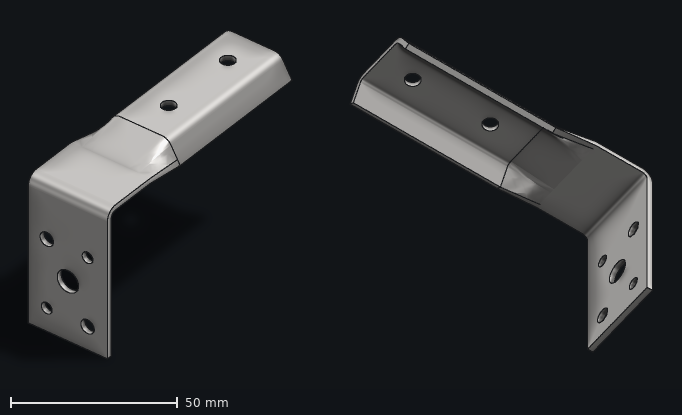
import cadquery as cq
import math

thickness = 2.0
bend_outer_radius = 2 * thickness
bend_inner_radius = bend_outer_radius - thickness

total_length = 91.0
total_height = 59.0
plate_width = 30.0
neck_front = 21.0
neck_back = 36.0
plate_top = -4.0
plate_underside = plate_top - thickness

crest_half_width = 7.8
wall_turn = math.radians(60)
wall_length = 7.0
neck_edge_drop = 4.9

channel_hole_diameter = 5.0
channel_holes_from_back = (12.5, 41.5)
left_hole_x = -8.0
right_hole_x = 7.5
lower_hole_height = 8.6
centre_hole_height = 22.1
upper_hole_height = 34.2
small_hole_diameter = 4.0
medium_hole_diameter = 5.0
large_hole_diameter = 8.0


def bend_point(radius, turn):
    """(x, z) on the right-hand channel bend, at a turn away from the crest."""
    return (
        crest_half_width + radius * math.sin(turn),
        -bend_outer_radius + radius * math.cos(turn),
    )


def down_wall(point, distance):
    """Move a (x, z) point down along the right-hand channel wall."""
    return (
        point[0] + distance * math.cos(wall_turn),
        point[1] - distance * math.sin(wall_turn),
    )


def mirrored(point):
    return (-point[0], point[1])


def at_y(point, y):
    return cq.Vector(point[0], y, point[1])


outer_crest = bend_point(bend_outer_radius, 0)
outer_middle = bend_point(bend_outer_radius, wall_turn / 2)
outer_bend = bend_point(bend_outer_radius, wall_turn)
outer_tip = down_wall(outer_bend, wall_length)
neck_edge = down_wall(outer_bend, neck_edge_drop)
inner_crest = bend_point(bend_inner_radius, 0)
inner_middle = bend_point(bend_inner_radius, wall_turn / 2)
inner_bend = bend_point(bend_inner_radius, wall_turn)
inner_tip = down_wall(inner_bend, wall_length)


def make_channel():
    """Straight open channel with two holes through its crest."""
    channel = (
        cq.Workplane("XZ", origin=(0, total_length, 0))
        .moveTo(*mirrored(outer_crest))
        .lineTo(*outer_crest)
        .threePointArc(outer_middle, outer_bend)
        .lineTo(*outer_tip)
        .lineTo(*inner_tip)
        .lineTo(*inner_bend)
        .threePointArc(inner_middle, inner_crest)
        .lineTo(*mirrored(inner_crest))
        .threePointArc(mirrored(inner_middle), mirrored(inner_bend))
        .lineTo(*mirrored(inner_tip))
        .lineTo(*mirrored(outer_tip))
        .lineTo(*mirrored(outer_bend))
        .threePointArc(mirrored(outer_middle), mirrored(outer_crest))
        .close()
        .extrude(total_length - neck_back)
    )
    holes = (
        cq.Workplane("XY")
        .pushPoints([(0, total_length - setback) for setback in channel_holes_from_back])
        .circle(channel_hole_diameter / 2)
        .extrude(-thickness)
    )
    return channel.cut(holes)


def make_neck():
    """Ruled transition from the channel section to the flat plate section."""
    half_plate = plate_width / 2

    outer_arc = bend_outer_radius * wall_turn
    inner_arc = bend_inner_radius * wall_turn
    outer_run = crest_half_width + outer_arc + neck_edge_drop
    inner_run = crest_half_width + inner_arc + wall_length + thickness
    top_crest = (half_plate * crest_half_width / outer_run, plate_top)
    top_bend = (half_plate * (crest_half_width + outer_arc) / outer_run, plate_top)
    low_crest = (half_plate * crest_half_width / inner_run, plate_underside)
    low_bend = (half_plate * (crest_half_width + inner_arc) / inner_run, plate_underside)
    low_tip = (half_plate * (inner_run - thickness) / inner_run, plate_underside)

    pairs = [
        (outer_crest, top_crest),
        (outer_bend, top_bend),
        (neck_edge, (half_plate, plate_top)),
        (outer_tip, (half_plate, plate_underside)),
        (inner_tip, low_tip),
        (inner_bend, low_bend),
        (inner_crest, low_crest),
    ]
    pairs += [(mirrored(back), mirrored(front)) for back, front in reversed(pairs)]
    arc_middles = {
        (outer_crest, outer_bend): outer_middle,
        (inner_bend, inner_crest): inner_middle,
        (mirrored(inner_crest), mirrored(inner_bend)): mirrored(inner_middle),
        (mirrored(outer_bend), mirrored(outer_crest)): mirrored(outer_middle),
    }

    back_edges = []
    front_edges = []
    for (back, front), (next_back, next_front) in zip(pairs, pairs[1:] + pairs[:1]):
        start = at_y(back, neck_back)
        end = at_y(next_back, neck_back)
        if (back, next_back) in arc_middles:
            middle = at_y(arc_middles[(back, next_back)], neck_back)
            back_edges.append(cq.Edge.makeThreePointArc(start, middle, end))
        else:
            back_edges.append(cq.Edge.makeLine(start, end))
        front_edges.append(cq.Edge.makeLine(at_y(front, neck_front), at_y(next_front, neck_front)))

    sections = [cq.Wire.assembleEdges(back_edges), cq.Wire.assembleEdges(front_edges)]
    return cq.Workplane(cq.Solid.makeLoft(sections, True))


def make_plate():
    """Flat strip bent down into the vertical mounting plate."""
    plate = (
        cq.Workplane("YZ")
        .moveTo(neck_front, plate_top)
        .lineTo(0, plate_top)
        .lineTo(0, -total_height)
        .lineTo(thickness, -total_height)
        .lineTo(thickness, plate_underside)
        .lineTo(neck_front, plate_underside)
        .close()
        .extrude(plate_width / 2, both=True)
    )
    outer_corner = cq.selectors.NearestToPointSelector((0, 0, plate_top))
    inner_corner = cq.selectors.NearestToPointSelector((0, thickness, plate_underside))
    plate = plate.edges(outer_corner).fillet(bend_outer_radius)
    return plate.edges(inner_corner).fillet(bend_inner_radius)


def make_plate_holes():
    """Large central hole and four mounting holes, equal sizes on each diagonal."""
    layout = [
        (0, centre_hole_height, large_hole_diameter),
        (left_hole_x, upper_hole_height, medium_hole_diameter),
        (right_hole_x, upper_hole_height, small_hole_diameter),
        (left_hole_x, lower_hole_height, small_hole_diameter),
        (right_hole_x, lower_hole_height, medium_hole_diameter),
    ]
    holes = cq.Workplane("XZ")
    for x, height, diameter in layout:
        hole = (
            cq.Workplane("XZ")
            .center(x, height - total_height)
            .circle(diameter / 2)
            .extrude(-thickness)
        )
        holes = holes.add(hole)
    return holes.combine()


def make_bracket():
    """Bent mounting plate with the neck that meets the channel."""
    return make_plate().cut(make_plate_holes()).union(make_neck())


channel = make_channel()
bracket = make_bracket()

result = cq.Compound.makeCompound([channel.val(), *bracket.vals()])